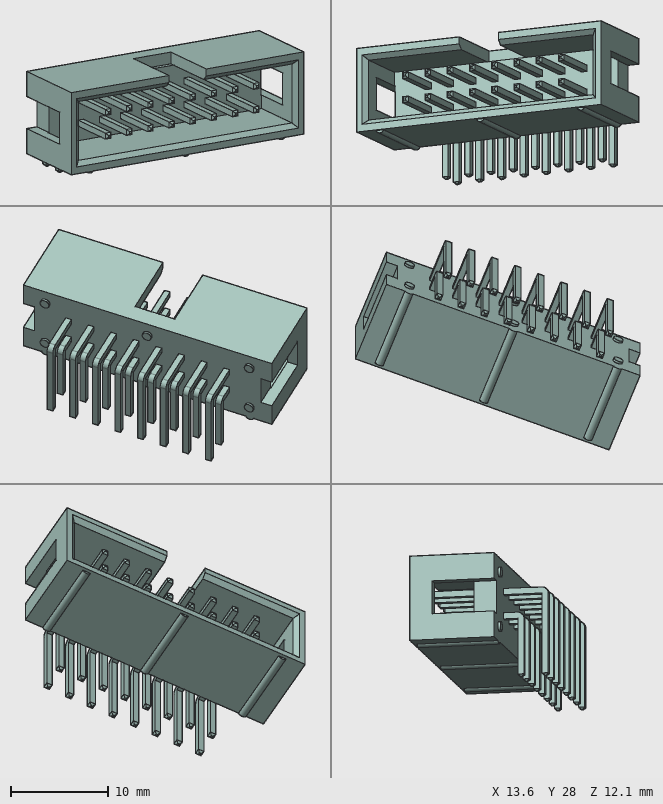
import cadquery as cq

body_depth = 8.87
body_length = 27.98
body_height = 8.85
overall_depth = 13.55
overall_height = 12.1
mid_height = body_height / 2

wall = 1.25
end_wall = 1.15
back_wall = 2.38
mouth_chamfer = 0.5

notch_width = 4.48
notch_start = 1.85

window_depth = 6.5
window_height = 3.45
window_recess = 1.23

boss_diameter = 1.0
boss_height = 0.25
boss_spacing = 11.5
boss_rise = 2.85

rib_width = 0.9
rib_height = 0.28
rib_length = 8.53

pin_size = 0.65
pin_pitch = 2.55
pins_per_row = 8
pin_taper = 0.22
pin_front = 8.03


def block(x_range, y_range, z_range):
    """Box between the given limits along each axis."""
    size = [limits[1] - limits[0] for limits in (x_range, y_range, z_range)]
    corner = (x_range[0], y_range[0], z_range[0])
    return cq.Workplane("XY").box(*size, centered=False).translate(corner)


def make_housing():
    """Shrouded housing with its cavity, notch and end windows."""
    half_length = body_length / 2
    housing = block((0, body_depth), (-half_length, half_length), (0, body_height))

    cavity_end = half_length - end_wall
    cavity = block((back_wall, body_depth), (-cavity_end, cavity_end), (wall, body_height - wall))
    housing = housing.cut(cavity)

    lead_in = (
        cq.Workplane("YZ", origin=(body_depth, 0, mid_height))
        .rect(2 * (cavity_end + mouth_chamfer), body_height - 2 * wall + 2 * mouth_chamfer)
        .workplane(offset=-mouth_chamfer)
        .rect(2 * cavity_end, body_height - 2 * wall)
        .loft(ruled=True)
    )
    housing = housing.cut(lead_in)

    notch = block(
        (notch_start, body_depth),
        (-notch_width / 2, notch_width / 2),
        (body_height - wall, body_height),
    )
    housing = housing.cut(notch)

    window_z = (mid_height - window_height / 2, mid_height + window_height / 2)
    window_end = half_length - window_recess
    for y_range in ((-half_length, -window_end), (window_end, half_length)):
        housing = housing.cut(block((0, window_depth), y_range, window_z))
    return housing


def make_bosses():
    """Two rows of three standoff bosses on the back face."""
    centres = [(y * boss_spacing, z * boss_rise) for y in (-1, 0, 1) for z in (-1, 1)]
    return (
        cq.Workplane("YZ", origin=(0, 0, mid_height))
        .pushPoints(centres)
        .circle(boss_diameter / 2)
        .extrude(-boss_height)
    )


def make_rib(y):
    """Crush rib along X on the underside of the housing."""
    return (
        cq.Workplane("YZ", origin=(0, y, 0))
        .moveTo(-rib_width / 2, 0)
        .threePointArc((0, -rib_height), (rib_width / 2, 0))
        .close()
        .extrude(rib_length)
    )


def make_pin(leg_back, pin_top):
    """Bent pin centred on Y = 0: a solder leg, a rounded outer bend and a contact blade."""
    leg_bottom = body_height - overall_height
    blade_bottom = pin_top - pin_size
    leg_front = leg_back + pin_size
    return (
        cq.Workplane("XZ", origin=(0, pin_size / 2, 0))
        .moveTo(leg_back, leg_bottom)
        .lineTo(leg_back, blade_bottom)
        .radiusArc((leg_front, pin_top), pin_size)
        .lineTo(pin_front, pin_top)
        .lineTo(pin_front, blade_bottom)
        .lineTo(leg_front, blade_bottom)
        .lineTo(leg_front, leg_bottom)
        .close()
        .extrude(pin_size)
        .faces("<Z or >X")
        .chamfer(pin_taper)
    )


result = make_housing().union(make_bosses())

for rib_index in (-1, 0, 1):
    result = result.union(make_rib(rib_index * boss_spacing))

outer_leg_back = body_depth - overall_depth
upper_pin_top = mid_height + (pin_pitch + pin_size) / 2
outer_pin = make_pin(outer_leg_back, upper_pin_top)
inner_pin = make_pin(outer_leg_back + pin_pitch, upper_pin_top - pin_pitch)

for pin_index in range(pins_per_row):
    pin_y = (pin_index - (pins_per_row - 1) / 2) * pin_pitch
    for pin in (outer_pin, inner_pin):
        result = result.union(pin.translate((0, pin_y, 0)))